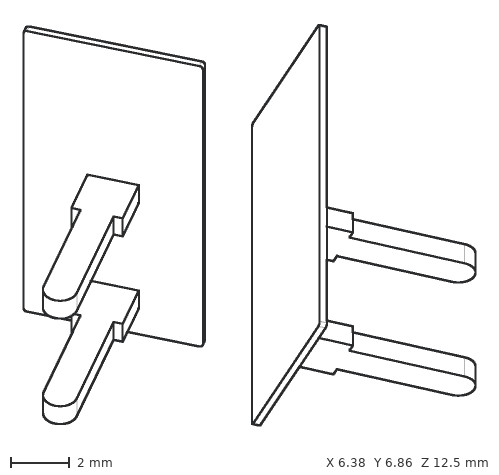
import cadquery as cq

plate_width = 6.38
plate_height = 12.5
plate_thickness = 0.26
plate_corner_radius = 0.12

overall_depth = 6.86
pin_length = overall_depth - plate_thickness
pin_thickness = 0.8
shoulder_width = 1.82
shoulder_length = 1.82
blade_width = 1.18
pin_spacing = 4.7
pin_heights = (0, -pin_spacing)


def make_plate():
    plate = cq.Workplane("XY").box(
        plate_width, plate_thickness, plate_height, centered=(True, False, True)
    )
    return plate.edges("|Y").fillet(plate_corner_radius)


def make_pin(height):
    """Pin outline in the XY plane, extruded evenly about its centre height."""
    half_shoulder = shoulder_width / 2
    half_blade = blade_width / 2
    tip_start = -pin_length + half_blade
    return (
        cq.Workplane("XY", origin=(0, 0, height))
        .moveTo(-half_shoulder, 0)
        .lineTo(-half_shoulder, -shoulder_length)
        .lineTo(-half_blade, -shoulder_length)
        .lineTo(-half_blade, tip_start)
        .threePointArc((0, -pin_length), (half_blade, tip_start))
        .lineTo(half_blade, -shoulder_length)
        .lineTo(half_shoulder, -shoulder_length)
        .lineTo(half_shoulder, 0)
        .close()
        .extrude(pin_thickness / 2, both=True)
    )


result = make_plate()
for pin_height in pin_heights:
    result = result.union(make_pin(pin_height))